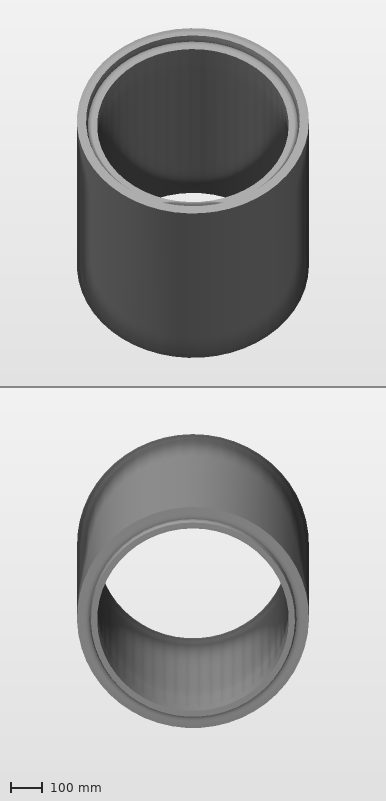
import cadquery as cq

height = 773.0
outer_radius = 363.0
bore_radius = 300.0

spigot_length = 22.0
spigot_base_radius = 324.0
spigot_tip_radius = 319.0

socket_depth = 25.0
socket_mouth_radius = 335.0
socket_floor_radius = 329.0

half_section = [
    (bore_radius, 0),
    (spigot_tip_radius, 0),
    (spigot_base_radius, spigot_length),
    (outer_radius, spigot_length),
    (outer_radius, height),
    (socket_mouth_radius, height),
    (socket_floor_radius, height - socket_depth),
    (bore_radius, height - socket_depth),
]

result = cq.Workplane("XZ").polyline(half_section).close().revolve(360, (0, 0, 0), (0, 1, 0))